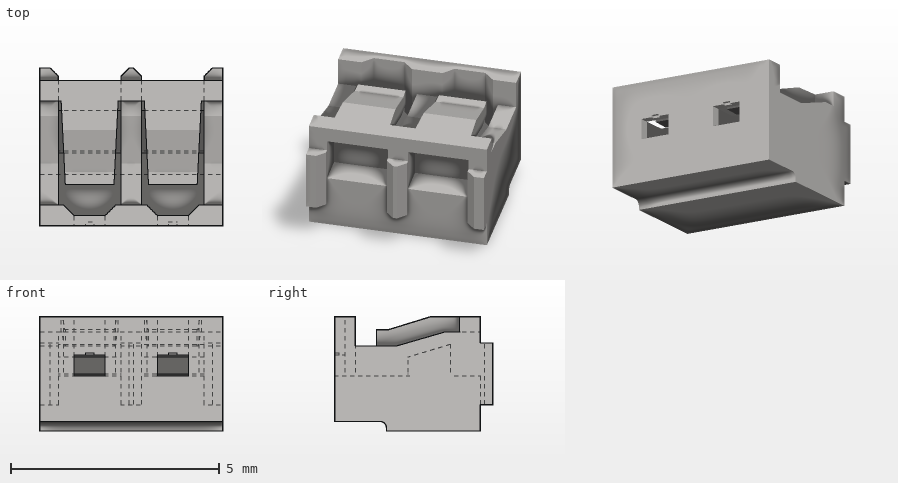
import cadquery as cq

POLES = 2
PITCH = 2.0
WIDTH = 4.4
BODY_DEPTH = 3.5
HEIGHT = 2.75
POLE_CENTERS = [(i - (POLES - 1) / 2) * PITCH for i in range(POLES)]

STEP_DEPTH = 1.24
STEP_HEIGHT = 0.23
STEP_FILLET = 0.15

CAVITY_WIDTH = 1.5
CAVITY_FLOOR = 1.32
RIB_WIDTH = PITCH - CAVITY_WIDTH

FRONT_WALL = 0.5
BRIDGE_FRONT = 3.0

RIB_HIGH = 2.38
RIB_LOW = 2.05
RIB_SLOPE_BACK = 2.64
RIB_SLOPE_FRONT = 1.5

ARM_TIP = 1.0
ARM_TIP_TOP = 2.44
ARM_SLOPE_BACK = 2.3
ARM_SLOPE_FRONT = 1.29
ARM_ROOT_WIDTH = 1.37
ARM_TIP_WIDTH = 1.17

RELIEF_WALL = 0.25
RELIEF_MOUTH_WIDTH = 1.25

WINDOW_WIDTH = 0.75
WINDOW_HEIGHT = 0.505
NOTCH_WIDTH = 0.2
NOTCH_HEIGHT = 0.055
NOTCH_DEPTH = 0.1

RAMP_FRONT = 1.757
RAMP_BACK = 2.78
RAMP_LIP = 0.028
RAMP_LOW = 1.785
RAMP_HIGH = 2.085
RAMP_UNDERCUT_HEIGHT = 0.055
RAMP_UNDERCUT_DEPTH = 0.045

TAB_LENGTH = 0.3
TAB_BOTTOM = 0.63
TAB_TOP = 2.12
TAB_CHAMFER = 0.2


def side_prism(points, width, center_x=0.0):
    """Extrude a (Y, Z) outline along X, centred on center_x."""
    plane = cq.Workplane("YZ", origin=(center_x, 0, 0))
    return plane.polyline(points).close().extrude(width / 2, both=True)


def plan_prism(points, bottom, top, center_x=0.0):
    """Extrude an (X, Y) outline from bottom to top."""
    plane = cq.Workplane("XY", origin=(center_x, 0, bottom))
    return plane.polyline(points).close().extrude(top - bottom)


def block(x_range, y_range, z_range):
    """Box between the given limits."""
    (x0, x1), (y0, y1), (z0, z1) = x_range, y_range, z_range
    return cq.Workplane("XY").box(x1 - x0, y1 - y0, z1 - z0, centered=False).translate((x0, y0, z0))


def make_body():
    """Full-width outline with the front wall, rib tops, rear bridge and underside step."""
    fillet_end = STEP_DEPTH - STEP_FILLET
    outline = (
        cq.Workplane("YZ")
        .moveTo(0, STEP_HEIGHT)
        .lineTo(0, HEIGHT)
        .lineTo(FRONT_WALL, HEIGHT)
        .lineTo(FRONT_WALL, RIB_LOW)
        .lineTo(RIB_SLOPE_FRONT, RIB_LOW)
        .lineTo(RIB_SLOPE_BACK, RIB_HIGH)
        .lineTo(BRIDGE_FRONT, RIB_HIGH)
        .lineTo(BRIDGE_FRONT, HEIGHT)
        .lineTo(BODY_DEPTH, HEIGHT)
        .lineTo(BODY_DEPTH, 0)
        .lineTo(STEP_DEPTH, 0)
        .lineTo(STEP_DEPTH, STEP_HEIGHT - STEP_FILLET)
        .radiusArc((fillet_end, STEP_HEIGHT), -STEP_FILLET)
        .close()
    )
    return outline.extrude(WIDTH / 2, both=True)


def make_cavity(center_x):
    """Space between two ribs, under the bridge and out through the back."""
    half = CAVITY_WIDTH / 2
    return block((center_x - half, center_x + half), (FRONT_WALL, BODY_DEPTH), (CAVITY_FLOOR, RIB_HIGH))


def make_relief(center_x):
    """Tapered recess that thins the front wall around a window."""
    mouth = RELIEF_MOUTH_WIDTH / 2
    base = WINDOW_WIDTH / 2
    points = [(-mouth, FRONT_WALL), (-base, RELIEF_WALL), (base, RELIEF_WALL), (mouth, FRONT_WALL)]
    return plan_prism(points, CAVITY_FLOOR, HEIGHT, center_x)


def make_window(center_x):
    """Contact window level with the cavity floor, with a shallow notch above it."""
    half = WINDOW_WIDTH / 2
    notch_half = NOTCH_WIDTH / 2
    window_top = CAVITY_FLOOR + WINDOW_HEIGHT
    window = block((center_x - half, center_x + half), (0, RELIEF_WALL), (CAVITY_FLOOR, window_top))
    notch = block(
        (center_x - notch_half, center_x + notch_half),
        (0, NOTCH_DEPTH),
        (CAVITY_FLOOR, window_top + NOTCH_HEIGHT),
    )
    return window.union(notch)


def make_ramp(center_x):
    """Sloped block on the cavity floor, undercut along its front foot."""
    points = [
        (RAMP_FRONT + RAMP_UNDERCUT_DEPTH, CAVITY_FLOOR),
        (RAMP_FRONT, CAVITY_FLOOR + RAMP_UNDERCUT_HEIGHT),
        (RAMP_FRONT, RAMP_LOW),
        (RAMP_FRONT + RAMP_LIP, RAMP_LOW),
        (RAMP_BACK, RAMP_HIGH),
        (RAMP_BACK, CAVITY_FLOOR),
    ]
    return side_prism(points, CAVITY_WIDTH, center_x)


def make_arm(center_x):
    """Cranked spring arm, narrowing towards its tip."""
    profile = [
        (BRIDGE_FRONT, HEIGHT),
        (ARM_SLOPE_BACK, HEIGHT),
        (ARM_SLOPE_FRONT, ARM_TIP_TOP),
        (ARM_TIP, ARM_TIP_TOP),
        (ARM_TIP, RIB_LOW),
        (RIB_SLOPE_FRONT, RIB_LOW),
        (RIB_SLOPE_BACK, RIB_HIGH),
        (BRIDGE_FRONT, RIB_HIGH),
    ]
    root = ARM_ROOT_WIDTH / 2
    tip = ARM_TIP_WIDTH / 2
    plan = [(-root, BRIDGE_FRONT), (root, BRIDGE_FRONT), (tip, ARM_TIP), (-tip, ARM_TIP)]
    return side_prism(profile, ARM_ROOT_WIDTH, center_x).intersect(plan_prism(plan, 0, HEIGHT, center_x))


def make_tab(center_x):
    """Guide tab as wide as a rib, with both rear corners chamfered."""
    half = RIB_WIDTH / 2
    tip = half - TAB_CHAMFER
    back = BODY_DEPTH + TAB_LENGTH
    points = [
        (-half, BODY_DEPTH),
        (-half, back - TAB_CHAMFER),
        (-tip, back),
        (tip, back),
        (half, back - TAB_CHAMFER),
        (half, BODY_DEPTH),
    ]
    return plan_prism(points, TAB_BOTTOM, TAB_TOP, center_x)


def make_side_tab(side):
    """Guide tab behind a side wall, chamfered on its inner corner; side is -1 or 1."""
    inner = POLES * PITCH / 2 - RIB_WIDTH / 2
    outer = WIDTH / 2
    back = BODY_DEPTH + TAB_LENGTH
    points = [
        (side * outer, BODY_DEPTH),
        (side * outer, back),
        (side * (inner + TAB_CHAMFER), back),
        (side * inner, back - TAB_CHAMFER),
        (side * inner, BODY_DEPTH),
    ]
    return plan_prism(points, TAB_BOTTOM, TAB_TOP)


result = make_body()

for pole_x in POLE_CENTERS:
    result = result.cut(make_cavity(pole_x))
    result = result.cut(make_relief(pole_x))
    result = result.cut(make_window(pole_x))
    result = result.union(make_ramp(pole_x))
    result = result.union(make_arm(pole_x))

for left_pole_x in POLE_CENTERS[:-1]:
    result = result.union(make_tab(left_pole_x + PITCH / 2))

for wall_side in (-1, 1):
    result = result.union(make_side_tab(wall_side))